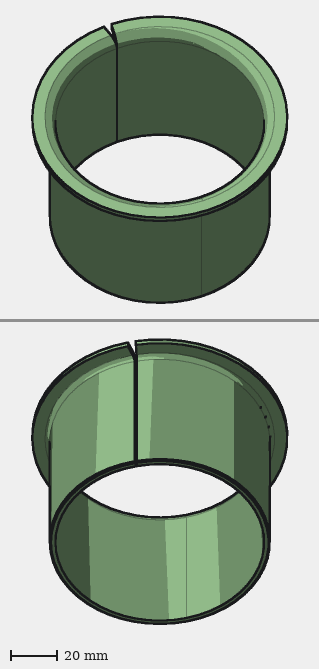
import cadquery as cq
import math

flange_diameter = 110.0
bore_diameter = 90.0
height = 70.0
wall = 2.5
inside_bend_radius = 2.0
end_chamfer = 0.6

split_angle = 2.0
split_outer_width = 3.5
split_bore_width = 0.1

flange_radius = flange_diameter / 2
bore_radius = bore_diameter / 2
sleeve_radius = bore_radius + wall
outside_bend_radius = inside_bend_radius + wall
bend_centre_radius = sleeve_radius + inside_bend_radius
flange_bottom_z = height - wall
bend_centre_z = height - outside_bend_radius


def make_bushing():
    """Revolve the wall section, in radius and height, about the Z axis."""
    diagonal = math.sqrt(0.5)
    outside_mid = (
        bend_centre_radius - outside_bend_radius * diagonal,
        bend_centre_z + outside_bend_radius * diagonal,
    )
    inside_mid = (
        bend_centre_radius - inside_bend_radius * diagonal,
        bend_centre_z + inside_bend_radius * diagonal,
    )
    section = (
        cq.Workplane("XZ")
        .moveTo(bore_radius, 0)
        .lineTo(sleeve_radius - end_chamfer, 0)
        .lineTo(sleeve_radius, end_chamfer)
        .lineTo(sleeve_radius, bend_centre_z)
        .threePointArc(inside_mid, (bend_centre_radius, flange_bottom_z))
        .lineTo(flange_radius, flange_bottom_z)
        .lineTo(flange_radius, height)
        .lineTo(bend_centre_radius, height)
        .threePointArc(outside_mid, (bore_radius, bend_centre_z))
        .close()
    )
    return section.revolve(360, (0, 0, 0), (0, 1, 0))


def make_split():
    """Wedge that opens the wall over the full height."""
    half_bore_width = split_bore_width / 2
    half_outer_width = split_outer_width / 2
    taper = (half_outer_width - half_bore_width) / (flange_radius - bore_radius)
    apex_radius = bore_radius - half_bore_width / taper
    overshoot_radius = flange_radius + wall
    half_end_width = taper * (overshoot_radius - apex_radius)
    return (
        cq.Workplane("XY")
        .moveTo(-apex_radius, 0)
        .lineTo(-overshoot_radius, half_end_width)
        .lineTo(-overshoot_radius, -half_end_width)
        .close()
        .extrude(height)
        .rotate((0, 0, 0), (0, 0, 1), split_angle)
    )


result = make_bushing().cut(make_split())